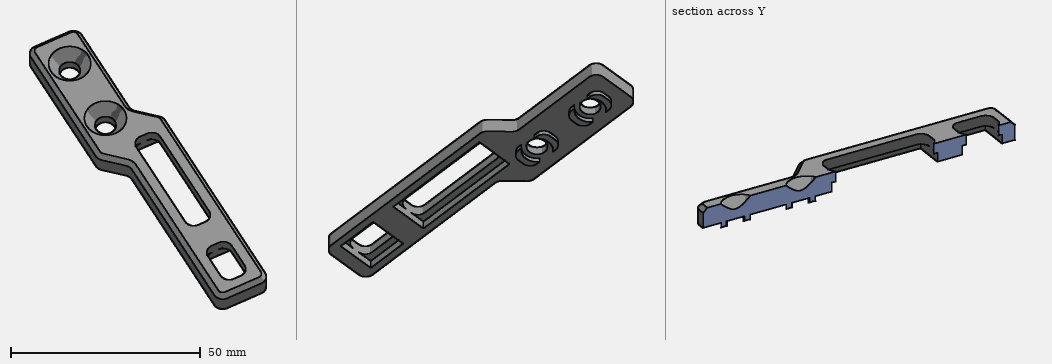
import cadquery as cq
import math

LENGTH = 95.66
THICKNESS = 5.84
ARM_WIDTH = 15.24
ARM_OFFSET = 6.35
TOTAL_WIDTH = ARM_WIDTH + ARM_OFFSET
FRONT_SLOPE_START = 39.95
BACK_SLOPE_START = 29.98
SLOPE_RUN = 6.1
CORNER_RADIUS = 2.54
TOP_CHAMFER = 1.27

HOLE_DIAMETER = 5.56
COUNTERSINK_DIAMETER = 11.11
COUNTERSINK_ANGLE = 82.0
FIRST_HOLE_X = 10.0
HOLE_SPACING = 20.0
HOLE_Y = ARM_WIDTH / 2
HOLE_CENTERS = [(FIRST_HOLE_X + i * HOLE_SPACING, HOLE_Y) for i in range(2)]

TAB_HEIGHT = 1.40
TAB_SPAN = 12.0
TAB_WIDTH = 6.83
TAB_RELIEF_DIAMETER = 8.4

WINDOW_WIDTH = 7.14
WINDOW_Y = ARM_OFFSET + ARM_WIDTH / 2
LONG_WINDOW_X = (39.55, 71.9)
SHORT_WINDOW_X = (79.55, 91.7)

RECESS_WIDTH = 11.11
RECESS_DEPTH = 2.7


def stepped_plate():
    """Plate with rounded corners and a chamfer round its top edge."""
    outline = [
        (0, 0),
        (FRONT_SLOPE_START, 0),
        (FRONT_SLOPE_START + SLOPE_RUN, ARM_OFFSET),
        (LENGTH, ARM_OFFSET),
        (LENGTH, TOTAL_WIDTH),
        (BACK_SLOPE_START + SLOPE_RUN, TOTAL_WIDTH),
        (BACK_SLOPE_START, ARM_WIDTH),
        (0, ARM_WIDTH),
    ]
    plate = cq.Workplane("XY").polyline(outline).close().extrude(THICKNESS)
    plate = plate.edges("|Z").fillet(CORNER_RADIUS)
    return plate.faces(">Z").edges().chamfer(TOP_CHAMFER)


def locating_tabs():
    """Rounded block at each hole, parted into two tabs by a round relief."""
    blocks = (
        cq.Workplane("XY")
        .pushPoints(HOLE_CENTERS)
        .rect(TAB_SPAN, TAB_WIDTH)
        .extrude(-TAB_HEIGHT)
        .edges("|Z")
        .fillet(CORNER_RADIUS)
    )
    reliefs = (
        cq.Workplane("XY")
        .pushPoints(HOLE_CENTERS)
        .circle(TAB_RELIEF_DIAMETER / 2)
        .extrude(-TAB_HEIGHT)
    )
    return blocks.cut(reliefs)


def countersunk_hole(center):
    """Cutter for a through hole with a conical seat at the plate's top."""
    hole_radius = HOLE_DIAMETER / 2
    seat_radius = COUNTERSINK_DIAMETER / 2
    seat_depth = (seat_radius - hole_radius) / math.tan(math.radians(COUNTERSINK_ANGLE / 2))
    profile = [
        (0, 0),
        (hole_radius, 0),
        (hole_radius, THICKNESS - seat_depth),
        (seat_radius, THICKNESS),
        (0, THICKNESS),
    ]
    cutter = cq.Workplane("XZ").polyline(profile).close().revolve(360, (0, 0), (0, 1))
    return cutter.translate((*center, 0))


def window(x_range):
    """Cutter for a rounded window through the high-X arm, with its recess below."""
    x_start, x_end = x_range
    length = x_end - x_start
    base = cq.Workplane("XY").center((x_start + x_end) / 2, WINDOW_Y)
    opening = base.rect(length, WINDOW_WIDTH).extrude(THICKNESS).edges("|Z").fillet(CORNER_RADIUS)
    recess = base.rect(length, RECESS_WIDTH).extrude(RECESS_DEPTH)
    return opening.union(recess)


result = stepped_plate().union(locating_tabs())
for hole_center in HOLE_CENTERS:
    result = result.cut(countersunk_hole(hole_center))
for window_range in (LONG_WINDOW_X, SHORT_WINDOW_X):
    result = result.cut(window(window_range))